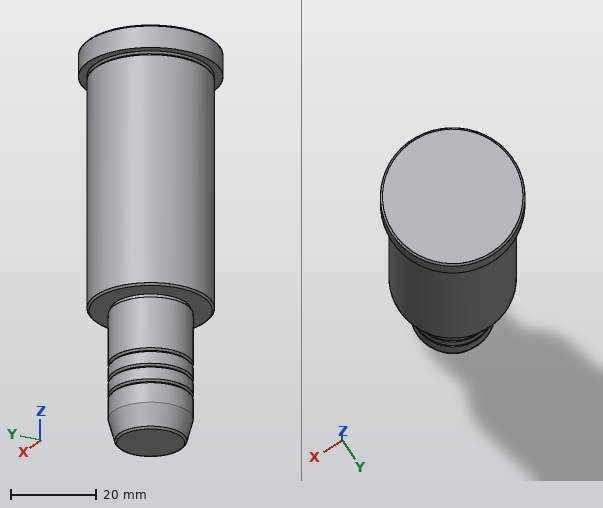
import cadquery as cq

total_height = 100.0
head_height = 6.0
sleeve_length = 60.0
head_bottom = total_height - head_height
sleeve_bottom = head_bottom - sleeve_length

head_radius = 17.0
sleeve_radius = 15.0
stem_radius = 10.0

edge_chamfer = 0.5

taper_top = 6.0
tip_radius = 8.5

groove_depth = 0.5
groove_width = 2 * groove_depth
stem_groove_tops = [20.0, 16.0, 12.0]

relief_width = 1.0
relief_depth = 0.5
relief_radius = stem_radius - relief_depth


def make_body():
    """Revolve the stepped outline of head, sleeve, relieved stem and tapered tip."""
    return (
        cq.Workplane("XZ")
        .moveTo(0, 0)
        .lineTo(tip_radius - edge_chamfer, 0)
        .lineTo(tip_radius, edge_chamfer)
        .lineTo(stem_radius, taper_top)
        .lineTo(stem_radius, sleeve_bottom - relief_width)
        .lineTo(relief_radius, sleeve_bottom - relief_width)
        .lineTo(relief_radius, sleeve_bottom)
        .lineTo(sleeve_radius - edge_chamfer, sleeve_bottom)
        .lineTo(sleeve_radius, sleeve_bottom + edge_chamfer)
        .lineTo(sleeve_radius, head_bottom)
        .lineTo(head_radius, head_bottom)
        .lineTo(head_radius, total_height - edge_chamfer)
        .lineTo(head_radius - edge_chamfer, total_height)
        .lineTo(0, total_height)
        .close()
        .revolve(360, (0, 0), (0, 1))
    )


def make_groove(top, surface_radius):
    """V-section ring to remove below height top from a cylinder of surface_radius."""
    return (
        cq.Workplane("XZ")
        .moveTo(surface_radius, top)
        .lineTo(surface_radius - groove_depth, top - groove_width / 2)
        .lineTo(surface_radius, top - groove_width)
        .close()
        .revolve(360, (0, 0), (0, 1))
    )


result = make_body().cut(make_groove(head_bottom, sleeve_radius))
for groove_top in stem_groove_tops:
    result = result.cut(make_groove(groove_top, stem_radius))